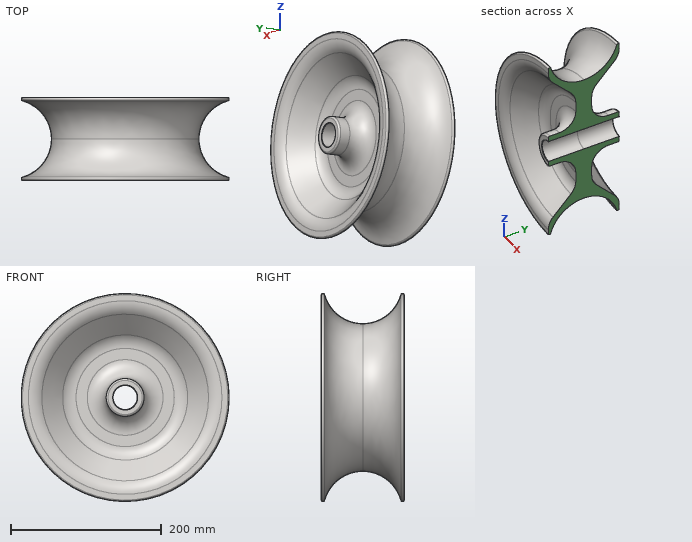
import cadquery as cq
import math

rim_radius = 138.0
width = 110.0
half_width = width / 2
throat_radius = 98.0
groove_arc_radius = 52.5
lip_round = 2.0
dish_fillet = 25.0
mouth_radius = 128.3
web_outer_radius = 65.0
web_half_thickness = 12.7
hub_radius = 25.0
hub_round = 2.5
bore_radius = 16.0
bore_chamfer = 0.5

diagonal = math.sqrt(0.5)
half_turn = math.pi / 8
fillet_run = dish_fillet * diagonal
fillet_rise = dish_fillet - fillet_run
fillet_mid_run = dish_fillet * math.sin(half_turn)
fillet_mid_rise = dish_fillet * (1 - math.cos(half_turn))

groove_center = throat_radius + groove_arc_radius
groove_end_radius = rim_radius - lip_round
groove_end_y = math.sqrt(groove_arc_radius**2 - (groove_center - groove_end_radius)**2)
lip_mid_y = (groove_end_y + half_width) / 2
groove_mid_angle = math.asin(groove_end_y / groove_arc_radius) / 2


def half_profile():
    """Section of the +Y half, with X as radius and Y as the wheel axis."""
    hub_inset = hub_round * (1 - diagonal)
    hub_blend = dish_fillet * (1 - diagonal)
    return (
        cq.Workplane("XY")
        .moveTo(bore_radius, 0)
        .lineTo(throat_radius, 0)
        .threePointArc(
            (
                groove_center - groove_arc_radius * math.cos(groove_mid_angle),
                groove_arc_radius * math.sin(groove_mid_angle),
            ),
            (groove_end_radius, groove_end_y),
        )
        .threePointArc(
            (rim_radius, lip_mid_y),
            (groove_end_radius, half_width),
        )
        .lineTo(mouth_radius, half_width)
        .threePointArc(
            (mouth_radius - fillet_mid_run, half_width - fillet_mid_rise),
            (mouth_radius - fillet_run, half_width - fillet_rise),
        )
        .lineTo(web_outer_radius + fillet_run, web_half_thickness + fillet_rise)
        .threePointArc(
            (web_outer_radius + fillet_mid_run, web_half_thickness + fillet_mid_rise),
            (web_outer_radius, web_half_thickness),
        )
        .lineTo(hub_radius + dish_fillet, web_half_thickness)
        .threePointArc(
            (hub_radius + hub_blend, web_half_thickness + hub_blend),
            (hub_radius, web_half_thickness + dish_fillet),
        )
        .lineTo(hub_radius, half_width - hub_round)
        .threePointArc(
            (hub_radius - hub_inset, half_width - hub_inset),
            (hub_radius - hub_round, half_width),
        )
        .lineTo(bore_radius + bore_chamfer, half_width)
        .lineTo(bore_radius, half_width - bore_chamfer)
        .close()
    )


half_wheel = half_profile().revolve(360, (0, 0, 0), (0, 1, 0))
result = half_wheel.union(half_wheel.mirror("XZ"), clean=False)